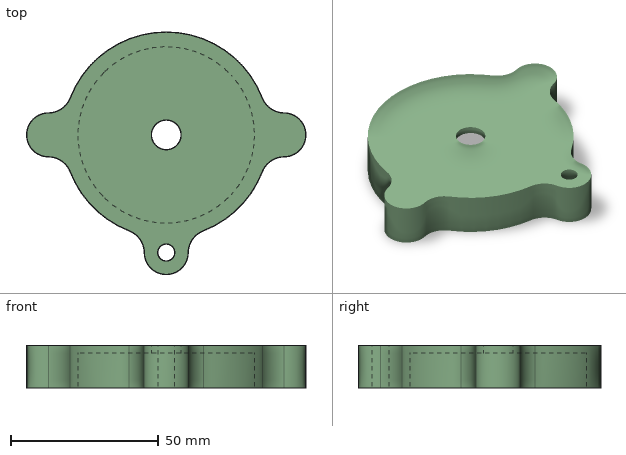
import cadquery as cq
import math

height = 14.5
disc_radius = 35.0
ear_radius = 7.5
ear_offset = 40.0
blend_radius = 8.0
center_hole_diameter = 10.0
ear_hole_diameter = 5.7
top_thickness = 2.5
rim_thickness = 5.0
ear_angles = (180, 270, 360)
drilled_ear_angle = 270


def polar(radius, angle):
    """Point at a radius and an angle in degrees from +X."""
    a = math.radians(angle)
    return (radius * math.cos(a), radius * math.sin(a))


blend_center_radius = disc_radius + blend_radius
blend_to_ear = ear_radius + blend_radius
blend_angle = math.degrees(math.acos(
    (blend_center_radius**2 + ear_offset**2 - blend_to_ear**2)
    / (2 * blend_center_radius * ear_offset)
))


def blend_points(ear_angle, side):
    """Disc tangent point, middle and ear tangent point of one blend (side is -1 or +1)."""
    angle = ear_angle + side * blend_angle
    cx, cy = polar(blend_center_radius, angle)
    ex, ey = polar(ear_offset, ear_angle)
    on_disc = polar(disc_radius, angle)
    share = blend_radius / blend_to_ear
    on_ear = (cx + (ex - cx) * share, cy + (ey - cy) * share)
    mx = (on_disc[0] + on_ear[0]) / 2 - cx
    my = (on_disc[1] + on_ear[1]) / 2 - cy
    stretch = blend_radius / math.hypot(mx, my)
    middle = (cx + mx * stretch, cy + my * stretch)
    return on_disc, middle, on_ear


def make_body():
    """Disc with three blended ears, extruded to full height."""
    start = blend_points(ear_angles[0], -1)[0]
    outline = cq.Workplane("XY").moveTo(*start)
    for index, ear_angle in enumerate(ear_angles):
        _, entry_middle, ear_start = blend_points(ear_angle, -1)
        exit_disc, exit_middle, ear_end = blend_points(ear_angle, 1)
        outline = outline.threePointArc(entry_middle, ear_start)
        outline = outline.threePointArc(polar(ear_offset + ear_radius, ear_angle), ear_end)
        outline = outline.threePointArc(exit_middle, exit_disc)

        if index + 1 < len(ear_angles):
            next_angle = ear_angles[index + 1]
        else:
            next_angle = ear_angles[0] + 360
        disc_end = blend_points(next_angle, -1)[0]
        outline = outline.threePointArc(polar(disc_radius, (ear_angle + next_angle) / 2), disc_end)
    return outline.close().extrude(height)


def make_cylinder(center, radius, length):
    """Upright cylinder standing on the bottom face."""
    return cq.Workplane("XY").center(*center).circle(radius).extrude(length)


recess = make_cylinder((0, 0), disc_radius - rim_thickness, height - top_thickness)
center_hole = make_cylinder((0, 0), center_hole_diameter / 2, height)
ear_hole = make_cylinder(polar(ear_offset, drilled_ear_angle), ear_hole_diameter / 2, height)

result = make_body().cut(recess).cut(center_hole).cut(ear_hole)